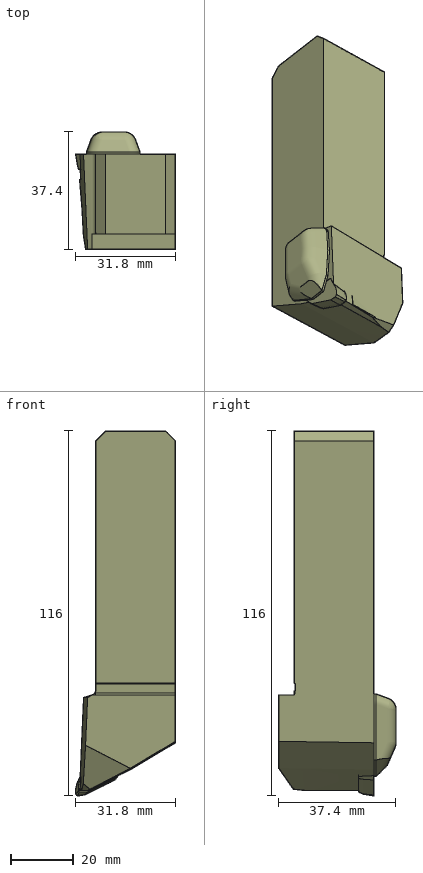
import cadquery as cq
import math

TOTAL_HEIGHT = 116.0

SHANK_SIDE = 25.4
TOP_CHAMFER = 3.1
SHANK_FOOT = 23.2

STEP_TOP = 36.0
STEP_DEPTH = 0.3

HEAD_DEPTH = 30.3
LEDGE_Z = 32.1
LEDGE_BEVEL_RISE = 0.7
LEDGE_BEVEL_RUN = 0.3
SHOULDER_START_X = -1.2
SHOULDER_X = -3.8
SHOULDER_Z = 31.3
FLANK_TILT = math.radians(2.5)
NOSE_Z = 1.7
NOSE_RIGHT_X = -2.5
KNEE_X = 11.0
KNEE_Z = 8.4
HEEL_Z = 16.9
BOTTOM_RELIEF = 0.5

SHOULDER_FILLET_TOP = 33.4
SHOULDER_FILLET_MID = 0.35

BEVEL_LEFT_Z = 16.1
BEVEL_EDGE_Y = -25.9
BEVEL_EDGE_Z = 4.0
CLIP_RIGHT_X = -1.6
CLIP_RIGHT_Z = 2.1
CLIP_BACK_Y = -16.8
CLIP_BACK_Z = 1.9
CUT_REACH = 69.6

WEDGE_BACK_Y = -8.0
WEDGE_FRONT_Y = -18.0
WEDGE_TOP_Z = 6.0
WEDGE_FRONT_Z = 2.5
WEDGE_BULGE = 0.3
WEDGE_ROOT = 1.2

BOSS_HEIGHT = 7.1
BOSS_PLINTH = 0.7
BOSS_DRAFT = 20.0
BOSS_CORNER_ROUND = 3.5
BOSS_TOP_ROUND = 4.1
BOSS_LEFT_X = -2.2
BOSS_RIGHT_X = 14.2
BOSS_TOP_Z = 32.5
BOSS_BEND = (-2.9, 21.2)
BOSS_LOW_CORNER_Z = 11.5
BOSS_BOTTOM_Z = 6.3
BOSS_BOTTOM_LEFT_X = 0.0
BOSS_BOTTOM_RIGHT_X = 5.2
BOSS_TOE_KNEE = (4.3, 9.9)
BOSS_TOE_TOP_Z = 16.2

INSERT_THICKNESS = 4.9
INSERT_NOSE_BREAK = 3.4
INSERT_RAKE = [
    (-3.4, 9.5), (-5.9, 4.1), (-6.4, 2.2), (-6.4, 0.7), (-5.8, 0.0),
    (-3.5, 0.3), (6.1, 5.1), (9.5, 9.5),
]
INSERT_MIDDLE = [
    (-3.1, 9.5), (-5.5, 4.2), (-5.8, 2.8), (-5.8, 1.2), (-5.5, 0.6),
    (-3.1, 0.7), (6.0, 5.3), (9.3, 9.5),
]
INSERT_FRONT = [
    (-3.0, 9.5), (-5.2, 4.3), (-5.5, 3.1), (-5.5, 1.6), (-5.2, 1.3),
    (-2.7, 1.3), (5.9, 5.6), (9.2, 9.5),
]


def flank_x(y, z):
    """X of the head's left flank at a given Y and Z."""
    return SHOULDER_X - math.tan(FLANK_TILT) * (SHOULDER_Z - z + y)


def ruled_solid(sections):
    """Ruled solid through (y, outline) sections, each outline a list of (X, Z) points."""
    wires = [
        cq.Wire.makePolygon([cq.Vector(x, y, z) for x, z in outline], close=True)
        for y, outline in sections
    ]
    return cq.Workplane(obj=cq.Solid.makeLoft(wires, True))


def pyramid(base, tip):
    """Solid pyramid over a flat polygon of corner points."""
    outlines = [base]
    for i, corner in enumerate(base):
        outlines.append([base[i - 1], corner, tip])
    faces = [
        cq.Face.makeFromWires(cq.Wire.makePolygon([cq.Vector(*p) for p in outline], close=True))
        for outline in outlines
    ]
    return cq.Workplane(obj=cq.Solid.makeSolid(cq.Shell.makeShell(faces)))


def half_space(a, b, c, inside):
    """Large block on the far side of the plane through a, b and c from the point inside."""
    a, b, c, inside = (cq.Vector(*p) for p in (a, b, c, inside))
    normal = (b - a).cross(c - a).normalized()
    if normal.dot(inside - a) > 0:
        normal = normal * -1
    plane = cq.Plane(origin=a, normal=normal)
    return cq.Workplane(plane).rect(CUT_REACH, CUT_REACH).extrude(CUT_REACH)


def make_shank():
    """Square shank with a shallow step in front and a chamfered top."""
    step_y = STEP_DEPTH - SHANK_SIDE
    shank = (
        cq.Workplane("YZ")
        .polyline([
            (0, SHANK_FOOT), (0, TOTAL_HEIGHT), (-SHANK_SIDE, TOTAL_HEIGHT),
            (-SHANK_SIDE, STEP_TOP), (step_y, STEP_TOP - STEP_DEPTH),
            (step_y, LEDGE_Z + LEDGE_BEVEL_RISE), (step_y - LEDGE_BEVEL_RUN, LEDGE_Z),
            (step_y - LEDGE_BEVEL_RUN, SHANK_FOOT),
        ])
        .close()
        .extrude(SHANK_SIDE)
    )
    return shank.faces(">Z").edges("|Y").chamfer(TOP_CHAMFER)


def head_outline(y):
    """Head outline in XZ at a given Y."""
    rise = -y / HEAD_DEPTH * BOTTOM_RELIEF
    return [
        (SHANK_SIDE, LEDGE_Z), (SHOULDER_START_X, LEDGE_Z),
        (flank_x(y, SHOULDER_Z), SHOULDER_Z), (flank_x(y, NOSE_Z), NOSE_Z),
        (NOSE_RIGHT_X, NOSE_Z), (KNEE_X, KNEE_Z + rise), (SHANK_SIDE, HEEL_Z + rise),
    ]


def make_head():
    """Head block between its back and front outlines."""
    return ruled_solid([(y, head_outline(y)) for y in (0, -HEAD_DEPTH)])


def make_shoulder_fillet():
    """Concave fillet strip filling the corner between the shank and the shoulder."""
    mid_x = SHOULDER_FILLET_MID * SHOULDER_START_X
    mid_z = LEDGE_Z + SHOULDER_FILLET_MID * (SHOULDER_FILLET_TOP - LEDGE_Z)
    return (
        cq.Workplane("XZ")
        .moveTo(0, SHOULDER_FILLET_TOP)
        .threePointArc((mid_x, mid_z), (SHOULDER_START_X, LEDGE_Z))
        .lineTo(0, LEDGE_Z)
        .close()
        .extrude(SHANK_SIDE)
    )


def make_front_bevel():
    """Triangular bevel across the lower front of the head."""
    return half_space(
        (flank_x(-HEAD_DEPTH, BEVEL_LEFT_Z), -HEAD_DEPTH, BEVEL_LEFT_Z),
        (KNEE_X, -HEAD_DEPTH, KNEE_Z + BOTTOM_RELIEF),
        (flank_x(BEVEL_EDGE_Y, BEVEL_EDGE_Z), BEVEL_EDGE_Y, BEVEL_EDGE_Z),
        (SHANK_SIDE, 0, LEDGE_Z),
    )


def make_nose_clip():
    """Small facet that takes the lower corner off the nose."""
    return half_space(
        (flank_x(BEVEL_EDGE_Y, BEVEL_EDGE_Z), BEVEL_EDGE_Y, BEVEL_EDGE_Z),
        (CLIP_RIGHT_X, BEVEL_EDGE_Y, CLIP_RIGHT_Z),
        (flank_x(CLIP_BACK_Y, CLIP_BACK_Z), CLIP_BACK_Y, CLIP_BACK_Z),
        (SHANK_SIDE, 0, LEDGE_Z),
    )


def make_flank_wedge():
    """Wedge standing proud of the left flank, fading out toward the front."""
    y = WEDGE_BACK_Y
    foot_x = flank_x(y, NOSE_Z)
    top_x = flank_x(y, WEDGE_TOP_Z)
    base = [
        (top_x, y, WEDGE_TOP_Z),
        (foot_x - WEDGE_BULGE, y, NOSE_Z),
        (foot_x + WEDGE_ROOT, y, NOSE_Z),
        (top_x + WEDGE_ROOT, y, WEDGE_TOP_Z),
    ]
    tip = (flank_x(WEDGE_FRONT_Y, WEDGE_FRONT_Z), WEDGE_FRONT_Y, WEDGE_FRONT_Z)
    return pyramid(base, tip)


def make_boss():
    """Drafted, rounded boss on the back face with a sloping lower end."""
    back_plane = cq.Plane(origin=(0, 0, 0), xDir=(-1, 0, 0), normal=(0, 1, 0))
    outline = [
        BOSS_BEND, (BOSS_LEFT_X, BOSS_TOP_Z), (BOSS_RIGHT_X, BOSS_TOP_Z),
        (BOSS_RIGHT_X, BOSS_LOW_CORNER_Z), (BOSS_BOTTOM_RIGHT_X, BOSS_BOTTOM_Z),
        (BOSS_BOTTOM_LEFT_X, BOSS_BOTTOM_Z), (BOSS_LEFT_X, BOSS_LOW_CORNER_Z),
    ]
    outline = [(-x, z) for x, z in outline]
    top_corners = [(-BOSS_LEFT_X, BOSS_TOP_Z), (-BOSS_RIGHT_X, BOSS_TOP_Z)]

    plinth = cq.Workplane(back_plane).polyline(outline).close().extrude(BOSS_PLINTH)
    for x, z in top_corners:
        corner = cq.selectors.NearestToPointSelector((-x, BOSS_PLINTH / 2, z))
        plinth = plinth.edges("|Y").edges(corner).fillet(BOSS_CORNER_ROUND)

    dome = (
        cq.Workplane(back_plane).workplane(offset=BOSS_PLINTH)
        .polyline(outline).close()
        .extrude(BOSS_HEIGHT - BOSS_PLINTH, taper=BOSS_DRAFT)
    )
    dome_mid_y = (BOSS_PLINTH + BOSS_HEIGHT) / 2
    inset = math.tan(math.radians(BOSS_DRAFT)) * (dome_mid_y - BOSS_PLINTH)
    for x in (BOSS_LEFT_X + inset, BOSS_RIGHT_X - inset):
        corner = cq.selectors.NearestToPointSelector((x, dome_mid_y, BOSS_TOP_Z - inset))
        dome = dome.edges(corner).fillet(BOSS_CORNER_ROUND)

    toe = (
        cq.Workplane("YZ")
        .polyline([
            (BOSS_PLINTH, BOSS_BOTTOM_Z), BOSS_TOE_KNEE, (BOSS_HEIGHT, BOSS_TOE_TOP_Z),
            (BOSS_HEIGHT, 0), (BOSS_PLINTH, 0),
        ])
        .close()
        .extrude(CUT_REACH, both=True)
    )
    dome = dome.cut(toe)

    knee_y, knee_z = BOSS_TOE_KNEE
    toe_mid = (BOSS_BOTTOM_RIGHT_X, (knee_y + BOSS_HEIGHT) / 2, (knee_z + BOSS_TOE_TOP_Z) / 2)
    toe_sides = (
        dome.faces(cq.selectors.NearestToPointSelector(toe_mid))
        .edges("not(|X)")
    )
    top_rim = dome.faces(">Y").edges()
    rim = top_rim.vals() + toe_sides.vals()
    dome = dome.newObject(rim).fillet(BOSS_TOP_ROUND)
    return plinth.union(dome)


def make_insert():
    """Tapered insert whose rake face is flush with the back of the head."""
    return ruled_solid([
        (0, INSERT_RAKE),
        (-INSERT_NOSE_BREAK, INSERT_MIDDLE),
        (-INSERT_THICKNESS, INSERT_FRONT),
    ])


def make_holder(insert):
    """Shank and head in one piece, with a seat that matches the insert."""
    head = make_head().cut(make_front_bevel()).cut(make_nose_clip())
    holder = make_shank().union(head)
    for feature in (make_shoulder_fillet(), make_flank_wedge(), make_boss()):
        holder = holder.union(feature)
    return holder.cut(insert)


insert = make_insert()
holder = make_holder(insert)

result = cq.Compound.makeCompound([holder.val(), insert.val()])